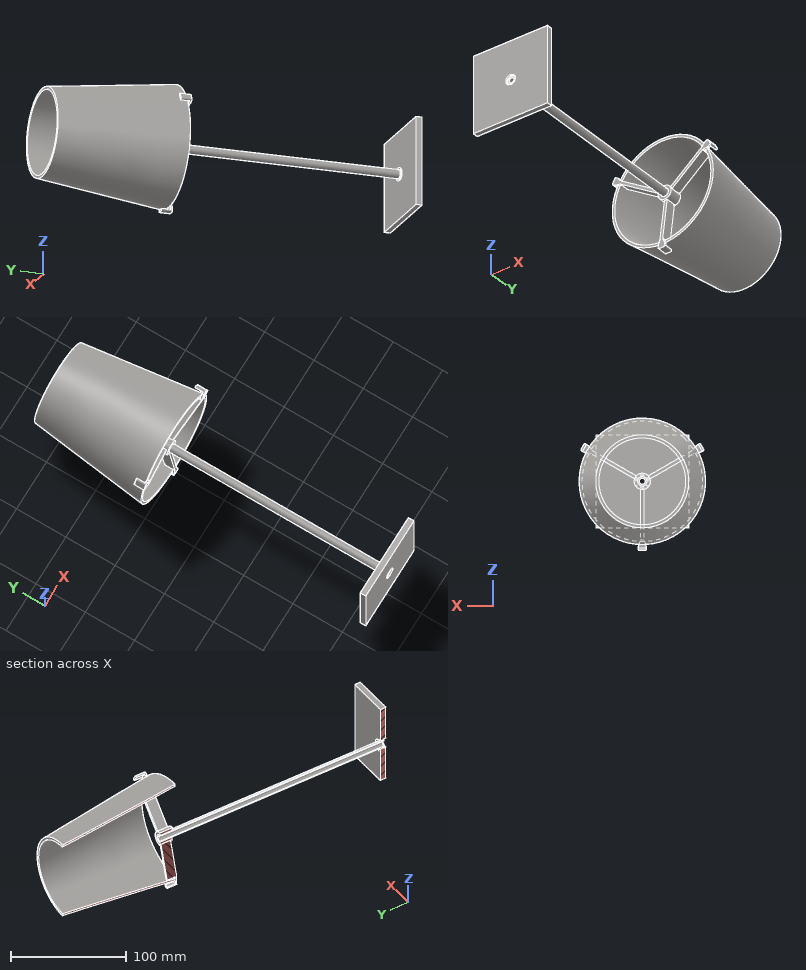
import cadquery as cq


base_width = 80.5
base_thickness = 5.7
base_recess_diameter = 10.0
base_recess_depth = 1.7

collar_height = 1.5
collar_large_diameter = 12.0
collar_small_diameter = base_recess_diameter

rod_diameter = 8.0
rod_bore_diameter = 5.0

total_length = 336.0
shade_length = 117.0
shade_start = total_length - shade_length
shade_large_radius = 110.0 / 2
shade_small_radius = 40.3
shade_wall = 2.7

hub_diameter = 14.0
hub_length = 13.5
hub_start = 221.8
hub_end = hub_start + hub_length

arm_count = 3
overall_height = 115.0
first_arm_angle = -90.0
blade_thickness = 3.0
blade_height = 10.5
blade_end_radius = 50.7
blade_hub_level = 224.5
clip_thickness = 2.0
clip_height = 10.0
clip_outer_radius = overall_height - shade_large_radius
flare_end_radius = 56.5
clip_inner_width = blade_thickness
clip_outer_width = 7.0
clip_corner_radius = 1.0
clip_start = shade_start - clip_thickness


def cylinder(diameter, start, end):
    """Cylinder on the lamp axis between two Y positions."""
    return cq.Workplane("XZ", origin=(0, start, 0)).circle(diameter / 2).extrude(start - end)


def make_base():
    plate = cq.Workplane("XY").box(base_width, base_thickness, base_width, centered=(True, False, True))
    plate = plate.cut(cylinder(base_recess_diameter, 0, base_recess_depth))
    return plate.cut(cylinder(rod_diameter, base_recess_depth, base_thickness))


def make_collar():
    top = base_thickness + collar_height
    profile = [
        (0, base_thickness),
        (collar_small_diameter / 2, base_thickness),
        (collar_large_diameter / 2, top),
        (0, top),
    ]
    cone = cq.Workplane("XY").polyline(profile).close().revolve(360, (0, 0, 0), (0, 1, 0))
    return cone.cut(cylinder(rod_diameter, base_thickness, top))


def make_rod():
    tube = cylinder(rod_diameter, base_recess_depth, hub_end)
    return tube.cut(cylinder(rod_bore_diameter, base_recess_depth, hub_end))


def make_shade():
    profile = [
        (shade_large_radius - shade_wall, shade_start),
        (shade_large_radius, shade_start),
        (shade_small_radius, total_length),
        (shade_small_radius - shade_wall, total_length),
    ]
    return cq.Workplane("XY").polyline(profile).close().revolve(360, (0, 0, 0), (0, 1, 0))


def make_hub():
    return cylinder(hub_diameter, hub_start, hub_end).cut(cylinder(rod_diameter, hub_start, hub_end))


def make_arm(angle):
    """Arm built along +X, then turned about the lamp axis; angle is measured from +X to +Z."""
    blade_profile = [
        (0, blade_hub_level),
        (blade_end_radius, clip_start),
        (blade_end_radius, clip_start + blade_height),
        (0, blade_hub_level + blade_height),
    ]
    blade = cq.Workplane("XY").polyline(blade_profile).close().extrude(blade_thickness / 2, both=True)
    blade = blade.cut(cylinder(hub_diameter, hub_start, hub_end))

    foot_outline = [
        (blade_end_radius, -clip_inner_width / 2),
        (flare_end_radius, -clip_outer_width / 2),
        (clip_outer_radius, -clip_outer_width / 2),
        (clip_outer_radius, clip_outer_width / 2),
        (flare_end_radius, clip_outer_width / 2),
        (blade_end_radius, clip_inner_width / 2),
    ]
    foot = (
        cq.Workplane("XZ", origin=(0, clip_start, 0))
        .polyline(foot_outline)
        .close()
        .extrude(-clip_thickness)
    )
    tab = cq.Workplane("XY").box(
        clip_thickness, clip_height, clip_outer_width, centered=(False, False, True)
    )
    tab = tab.translate((clip_outer_radius - clip_thickness, clip_start, 0))

    clip = foot.union(tab).edges("|Y and >X").fillet(clip_corner_radius)

    return blade.union(clip).rotate((0, 0, 0), (0, 1, 0), -angle)


base = make_base()
collar = make_collar()
rod = make_rod()
shade = make_shade()
hub = make_hub()
arms = [make_arm(first_arm_angle + i * 360 / arm_count) for i in range(arm_count)]

result = cq.Compound.makeCompound(
    [
        base.val(),
        collar.val(),
        rod.val(),
        shade.val(),
        hub.val(),
        *[arm.val() for arm in arms],
    ]
)